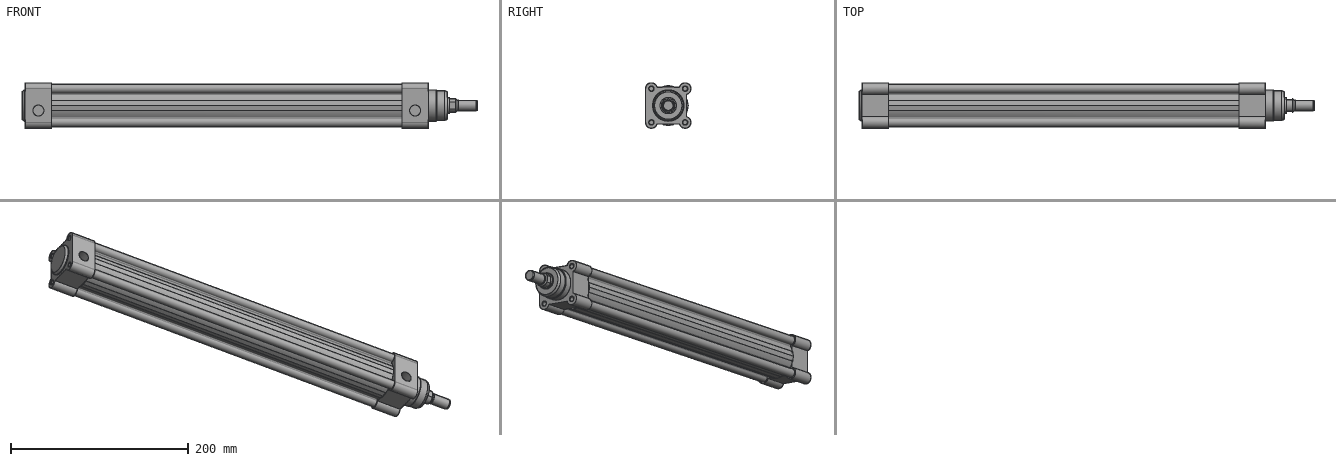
import cadquery as cq

TOTAL_LENGTH = 513.5

REAR_COLLAR_LENGTH = 3.5
HEAD_LENGTH = 30.0
FRONT_FACE_X = 458.0
COLLAR_END_X = 468.0
NOSE_END_X = 480.0
WIPER_END_X = 482.0
SHOULDER_X = 490.5
NECK_END_X = 492.0
BARREL_START_X = REAR_COLLAR_LENGTH + HEAD_LENGTH
BARREL_END_X = FRONT_FACE_X - HEAD_LENGTH

HEAD_HALF_WIDTH = 25.5
LOBE_OFFSET = 19.0
HEAD_LOBE_RADIUS = HEAD_HALF_WIDTH - LOBE_OFFSET
RECESS_DEPTH = 4.9
RECESS_HALF_WIDTH = HEAD_HALF_WIDTH - RECESS_DEPTH
LOBE_CENTRES = [(y, z) for y in (-LOBE_OFFSET, LOBE_OFFSET) for z in (-LOBE_OFFSET, LOBE_OFFSET)]

PORT_RADIUS = 6.0
PORT_DEPTH = 13.0
PORT_DROP = 5.5
SCREW_HOLE_RADIUS = 2.5
SCREW_HOLE_DEPTH = 10.5
SCREW_HOLE_CHAMFER = 0.5

BARREL_RADIUS = 22.0
BARREL_LOBE_RADIUS = 5.0
BARREL_FILLET = 1.0
RIDGE_HEIGHT = 22.5
RIDGE_FOOT = 21.5
RIDGE_HALF_WIDTH = 5.5

NOSE_RADIUS = 17.0
NOSE_CHAMFER_LENGTH = 3.0
NOSE_CHAMFER_DEPTH = 1.5
COLLAR_TAPER_LENGTH = 1.0
COLLAR_TAPER_DEPTH = 0.75
COLLAR_RADIUS = NOSE_RADIUS + COLLAR_TAPER_DEPTH
REAR_COLLAR_CHAMFER_LENGTH = 2.5
REAR_COLLAR_CHAMFER_DEPTH = 2.0
WIPER_RADIUS = 9.0

ROD_RADIUS = 7.5
ROD_CHAMFER = 1.5
FLAT_WIDTH = 13.5
FLAT_END_X = SHOULDER_X - ROD_CHAMFER
NECK_RADIUS = ROD_RADIUS - ROD_CHAMFER
THREAD_STEP = 0.25
THREAD_RADIUS = NECK_RADIUS - THREAD_STEP
TIP_CHAMFER_LENGTH = 1.5
TIP_CHAMFER_DEPTH = 0.5


def disc(start_x, end_x, radius):
    """Cylinder on the X axis between two stations."""
    return cq.Workplane("YZ", origin=(start_x, 0, 0)).circle(radius).extrude(end_x - start_x)


def corner_posts(start_x, end_x, radius):
    """Four cylinders along X, one at each corner."""
    section = cq.Workplane("YZ", origin=(start_x, 0, 0)).pushPoints(LOBE_CENTRES)
    return section.circle(radius).extrude(end_x - start_x)


def block(start_x, end_x, min_y, max_y, half_height):
    """Rectangular block between two stations, symmetric about Z = 0."""
    size = (end_x - start_x, max_y - min_y, 2 * half_height)
    return cq.Workplane().box(*size, centered=(False, False, True)).translate((start_x, min_y, 0))


def make_head_block(start_x, opens_forward):
    """Lobed head with its port and with screw holes in the outer face."""
    end_x = start_x + HEAD_LENGTH
    core = block(start_x, end_x, -LOBE_OFFSET, RECESS_HALF_WIDTH, RECESS_HALF_WIDTH)
    port_side = block(start_x, end_x, -HEAD_HALF_WIDTH, 0, LOBE_OFFSET)
    head = core.union(port_side).union(corner_posts(start_x, end_x, HEAD_LOBE_RADIUS))

    port_centre = (start_x + HEAD_LENGTH / 2, -HEAD_HALF_WIDTH, -PORT_DROP)
    port = cq.Workplane("XZ", origin=port_centre).circle(PORT_RADIUS).extrude(-PORT_DEPTH)
    head = head.cut(port)

    screw_holes = corner_posts(0, SCREW_HOLE_DEPTH, SCREW_HOLE_RADIUS)
    mouths = (
        cq.Workplane("YZ")
        .pushPoints(LOBE_CENTRES)
        .circle(SCREW_HOLE_RADIUS + SCREW_HOLE_CHAMFER)
        .extrude(SCREW_HOLE_CHAMFER, taper=45)
    )
    cutter = screw_holes.union(mouths)
    if opens_forward:
        return head.cut(cutter.mirror("YZ").translate((end_x, 0, 0)))
    return head.cut(cutter.translate((start_x, 0, 0)))


def make_rear_head():
    """Rear head with a short chamfered centring collar."""
    collar = disc(0, REAR_COLLAR_LENGTH, COLLAR_RADIUS).faces("<X")
    collar = collar.chamfer(REAR_COLLAR_CHAMFER_LENGTH, REAR_COLLAR_CHAMFER_DEPTH)
    return make_head_block(REAR_COLLAR_LENGTH, opens_forward=False).union(collar)


def make_front_head():
    """Front head with a collar that tapers down to a nose, and a wiper ring on its end."""
    collar = disc(FRONT_FACE_X, COLLAR_END_X, COLLAR_RADIUS).faces(">X")
    collar = collar.chamfer(COLLAR_TAPER_LENGTH, COLLAR_TAPER_DEPTH)
    nose = disc(COLLAR_END_X, NOSE_END_X, NOSE_RADIUS).faces(">X")
    nose = nose.chamfer(NOSE_CHAMFER_LENGTH, NOSE_CHAMFER_DEPTH)
    wiper = disc(NOSE_END_X, WIPER_END_X, WIPER_RADIUS)
    head = make_head_block(BARREL_END_X, opens_forward=True)
    return head.union(collar).union(nose).union(wiper)


def make_side_ridge():
    """Low roof-shaped ridge along the middle of the barrel's top side."""
    outline = [(0, 0), (RIDGE_HALF_WIDTH, RIDGE_FOOT), (0, RIDGE_HEIGHT), (-RIDGE_HALF_WIDTH, RIDGE_FOOT)]
    section = cq.Workplane("YZ", origin=(BARREL_START_X, 0, 0)).polyline(outline).close()
    return section.extrude(BARREL_END_X - BARREL_START_X)


def make_barrel():
    """Round barrel with four filleted corner lobes and a ridge on each side."""
    posts = corner_posts(BARREL_START_X, BARREL_END_X, BARREL_LOBE_RADIUS)
    body = disc(BARREL_START_X, BARREL_END_X, BARREL_RADIUS).union(posts)
    body = body.edges("|X").fillet(BARREL_FILLET)
    ridge = make_side_ridge()
    for side in range(4):
        body = body.union(ridge.rotate((0, 0, 0), (1, 0, 0), 90 * side))
    return body


def make_piston_rod():
    """Rod with two wrench flats, a chamfered shoulder, a neck and a threaded end."""
    rod = disc(WIPER_END_X, SHOULDER_X, ROD_RADIUS).faces(">X").chamfer(ROD_CHAMFER)
    between_flats = block(WIPER_END_X, FLAT_END_X, -FLAT_WIDTH / 2, FLAT_WIDTH / 2, ROD_RADIUS)
    rod = rod.intersect(between_flats.union(disc(FLAT_END_X, SHOULDER_X, ROD_RADIUS)))
    neck = disc(SHOULDER_X, NECK_END_X, NECK_RADIUS)
    thread = disc(NECK_END_X, TOTAL_LENGTH, THREAD_RADIUS).faces(">X")
    thread = thread.chamfer(TIP_CHAMFER_LENGTH, TIP_CHAMFER_DEPTH)
    return rod.union(neck).union(thread)


rear_head = make_rear_head()
barrel = make_barrel()
front_head = make_front_head()
piston_rod = make_piston_rod()
result = cq.Compound.makeCompound(
    [rear_head.val(), barrel.val(), front_head.val(), piston_rod.val()]
)